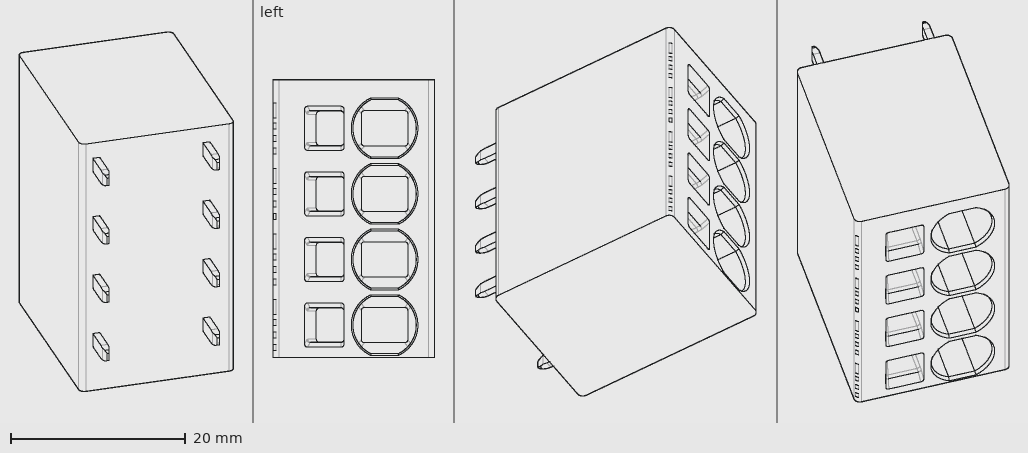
import cadquery as cq
import math

body_length = 24.17
body_width = 18.5
body_height = 31.8
corner_radius = 0.7

pole_count = 4
pole_pitch = 7.5
first_opening_z = 10.35
first_pin_z = 13.1

entry_y = -3.53
entry_mouth_radius = 3.82
entry_mouth_half_height = 3.47
lead_in_depth = 0.45
lead_in_inset = 0.2
entry_radius = entry_mouth_radius - lead_in_inset
entry_half_height = entry_mouth_half_height - lead_in_inset
funnel_start = 6.35
funnel_length = 2.23
funnel_end_width = 5.3
funnel_end_height = 4.05

release_y_near = 1.1
release_y_far = 5.63
release_wall_drift = 1.35
release_depth = 5.55
release_throat_height = 3.9
release_stations = (
    (0.0, 5.05),
    (1.08, 4.05),
    (1.6, release_throat_height),
    (release_depth, release_throat_height),
)
passage_corner_radius = 0.35

pin_row_ys = (5.85, -7.35)
pin_length = 4.58
pin_height = 1.7
pin_thickness = 0.83
pin_edge_taper_start = 3.12
pin_nose_start = 4.15
pin_nose_height = 1.37
pin_tip_height = 0.92
pin_face_taper_start = 3.65
pin_tip_thickness = 0.25
pin_root = 0.32

flat_leg = 0.45
wide_flat_width = 1.72
wide_flat_offset = 2.07
narrow_flat_width = 0.67
narrow_flat_first_offset = 0.3
narrow_flat_pitch = 1.43
narrow_flat_count = 3


def pole_heights(first_z):
    return [first_z - i * pole_pitch for i in range(pole_count)]


def make_body():
    body = cq.Workplane("XY").box(body_length, body_width, body_height, centered=(False, True, True))
    return body.edges("|Z").fillet(corner_radius)


def tapered_passage(start, end):
    """Rectangular passage along X between two sections given as (x, low y, high y, height)."""
    def section(low_y, high_y, height):
        return cq.Sketch().rect(high_y - low_y, height).vertices().fillet(passage_corner_radius)

    def place(low_y, high_y, x_offset):
        return cq.Location(cq.Vector((low_y + high_y) / 2, 0, x_offset))

    start_x, *start_size = start
    end_x, *end_size = end
    return (
        cq.Workplane("YZ", origin=(start_x, 0, 0))
        .placeSketch(
            section(*start_size).moved(place(*start_size[:2], 0)),
            section(*end_size).moved(place(*end_size[:2], end_x - start_x)),
        )
        .loft(ruled=True)
    )


def entry_outline(radius, half_height):
    """Circle with its top and bottom cut flat."""
    half_flat = math.sqrt(radius**2 - half_height**2)
    return (
        cq.Workplane("YZ")
        .moveTo(entry_y - half_flat, half_height)
        .lineTo(entry_y + half_flat, half_height)
        .threePointArc((entry_y + radius, 0), (entry_y + half_flat, -half_height))
        .lineTo(entry_y - half_flat, -half_height)
        .threePointArc((entry_y - radius, 0), (entry_y - half_flat, half_height))
        .close()
    )


def make_wire_entry():
    lead_in_angle = math.degrees(math.atan2(lead_in_inset, lead_in_depth))
    mouth_outline = entry_outline(entry_mouth_radius, entry_mouth_half_height)
    lead_in = mouth_outline.extrude(lead_in_depth, taper=lead_in_angle)
    bore = entry_outline(entry_radius, entry_half_height).extrude(funnel_start)
    funnel_end = funnel_start + funnel_length
    funnel = tapered_passage(
        (funnel_start, entry_y - entry_radius, entry_y + entry_radius, 2 * entry_half_height),
        (funnel_end, entry_y - funnel_end_width / 2, entry_y + funnel_end_width / 2, funnel_end_height),
    )
    funnel = funnel.intersect(entry_outline(entry_radius, entry_half_height).extrude(funnel_end))
    return lead_in.union(bore).union(funnel)


def make_release_opening():
    sections = [
        (depth, release_y_near, release_y_far - release_wall_drift * depth / release_depth, height)
        for depth, height in release_stations
    ]
    opening = tapered_passage(sections[0], sections[1])
    for start, end in zip(sections[1:], sections[2:]):
        opening = opening.union(tapered_passage(start, end))
    return opening


def make_edge_flat(offset, width):
    """Wedge that trims the rounded edge to a 45 degree flat."""
    side_y = body_width / 2
    return (
        cq.Workplane("XY", origin=(0, 0, offset))
        .moveTo(0, side_y - flat_leg)
        .lineTo(flat_leg, side_y)
        .lineTo(0, side_y)
        .close()
        .extrude(width / 2, both=True)
    )


def make_edge_flats():
    flats = make_edge_flat(wide_flat_offset, wide_flat_width)
    for i in range(narrow_flat_count):
        offset = narrow_flat_first_offset - i * narrow_flat_pitch
        flats = flats.add(make_edge_flat(offset, narrow_flat_width))
    return flats.combine()


def make_pin():
    side_half = [
        (-pin_root, pin_height / 2),
        (pin_edge_taper_start, pin_height / 2),
        (pin_nose_start, pin_nose_height / 2),
        (pin_length, pin_tip_height / 2),
    ]
    plan_half = [
        (-pin_root, pin_thickness / 2),
        (pin_face_taper_start, pin_thickness / 2),
        (pin_length, pin_tip_thickness / 2),
    ]

    def symmetric_plate(plane, half, thickness):
        mirrored = [(x, -v) for x, v in reversed(half)]
        return cq.Workplane(plane).polyline(half + mirrored).close().extrude(thickness / 2, both=True)

    side_plate = symmetric_plate("XZ", side_half, pin_thickness)
    plan_plate = symmetric_plate("XY", plan_half, pin_height)
    return side_plate.intersect(plan_plate)


result = make_body()

pole_cuts = (make_wire_entry(), make_release_opening(), make_edge_flats())
for z in pole_heights(first_opening_z):
    for cutter in pole_cuts:
        result = result.cut(cutter.translate((0, 0, z)))

pin = make_pin()
for z in pole_heights(first_pin_z):
    for y in pin_row_ys:
        result = result.union(pin.translate((body_length, y, z)))